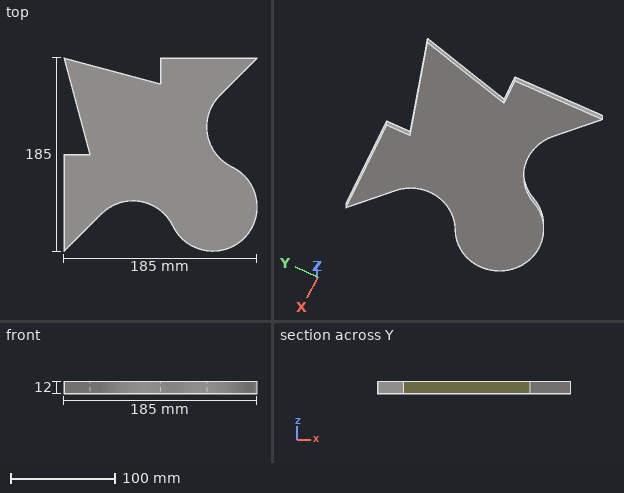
import cadquery as cq
import math

side = 185.0
thickness = 12.0
head_radius = 42.5
neck_radius = 42.5
tail_angle = 15.0

wing_length = side / 2
notch_depth = (side - wing_length) * math.tan(math.radians(tail_angle))

head_x = side - head_radius
head_y = head_radius
head_across = (head_x - head_y) / math.sqrt(2)
neck_across = neck_radius
center_distance = head_radius + neck_radius
neck_along = (head_x + head_y) / math.sqrt(2) + math.sqrt(
    center_distance**2 - (head_across - neck_across) ** 2
)
neck_x = (neck_along + neck_across) / math.sqrt(2)
neck_y = (neck_along - neck_across) / math.sqrt(2)


def mirrored(point):
    """Reflect a point across the diagonal of symmetry."""
    x, y = point
    return (side - y, side - x)


tail_tip = (0.0, side)
notch_inner = (side - wing_length, side - notch_depth)
notch_outer = (side - wing_length, side)
wing_tip = (side, side)
neck_start = (neck_along / math.sqrt(2), neck_along / math.sqrt(2))

head_share = head_radius / center_distance
neck_end = (
    head_x + (neck_x - head_x) * head_share,
    head_y + (neck_y - head_y) * head_share,
)

start_angle = math.atan2(neck_start[1] - neck_y, neck_start[0] - neck_x)
end_angle = math.atan2(head_y - neck_y, head_x - neck_x) + 2 * math.pi
middle_angle = (start_angle + end_angle) / 2
neck_middle = (
    neck_x + neck_radius * math.cos(middle_angle),
    neck_y + neck_radius * math.sin(middle_angle),
)

head_tip = (
    head_x + head_radius / math.sqrt(2),
    head_y - head_radius / math.sqrt(2),
)

result = (
    cq.Workplane("XY")
    .moveTo(*tail_tip)
    .lineTo(*notch_inner)
    .lineTo(*notch_outer)
    .lineTo(*wing_tip)
    .lineTo(*neck_start)
    .threePointArc(neck_middle, neck_end)
    .threePointArc(head_tip, mirrored(neck_end))
    .threePointArc(mirrored(neck_middle), mirrored(neck_start))
    .lineTo(*mirrored(wing_tip))
    .lineTo(*mirrored(notch_outer))
    .lineTo(*mirrored(notch_inner))
    .close()
    .extrude(thickness)
)